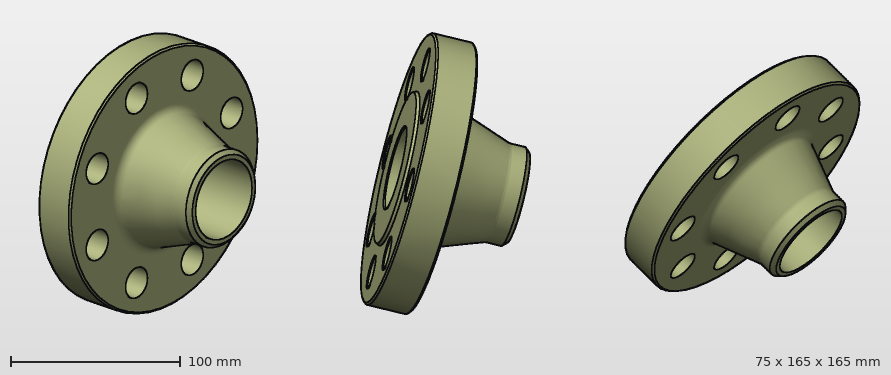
import cadquery as cq
import math

raised_face_height = 2.0
flange_back = 27.5
cone_end = 62.5
bevel_start = 72.3
total_length = 75.0

flange_radius = 82.5
raised_face_radius = 46.9
cone_base_radius = 42.5
neck_radius = 60.2 / 2
weld_end_radius = 27.5
bore_radius = 49.2 / 2

flange_chamfer = 1.2
raised_face_taper = 1.0
bore_chamfer = 0.8
hub_fillet = 6.0
neck_fillet = 4.5

bolt_count = 8
bolt_circle_radius = 63.5
bolt_hole_diameter = 19.1
bolt_hole_chamfer = 0.7


def flange_body():
    """Revolved flange, raised face and tapered weld neck before the hub is filleted."""
    profile = (
        cq.Workplane("XY")
        .moveTo(0, 0)
        .lineTo(0, raised_face_radius - raised_face_taper)
        .lineTo(raised_face_height, raised_face_radius)
        .lineTo(raised_face_height, flange_radius - flange_chamfer)
        .lineTo(raised_face_height + flange_chamfer, flange_radius)
        .lineTo(flange_back - flange_chamfer, flange_radius)
        .lineTo(flange_back, flange_radius - flange_chamfer)
        .lineTo(flange_back, cone_base_radius)
        .lineTo(cone_end, neck_radius)
        .lineTo(bevel_start, neck_radius)
        .lineTo(total_length, weld_end_radius)
        .lineTo(total_length, 0)
        .close()
    )
    return profile.revolve(360, (0, 0, 0), (1, 0, 0))


def circular_edge(body, position, radius):
    """Select the circular edge around the X axis at the given position and radius."""
    tolerance = 0.02
    corner = (position - tolerance, -radius - tolerance, -radius - tolerance)
    opposite = (position + tolerance, radius + tolerance, radius + tolerance)
    edges = body.edges(cq.selectors.BoxSelector(corner, opposite))
    return edges.filter(lambda edge: abs(edge.radius() - radius) < tolerance)


def chamfered_hole(diameter, chamfer, start, end):
    """Cutter along X with a conical flare at its start."""
    radius = diameter / 2
    return (
        cq.Workplane("XY")
        .moveTo(start, 0)
        .lineTo(start, radius + chamfer)
        .lineTo(start + chamfer, radius)
        .lineTo(end, radius)
        .lineTo(end, 0)
        .close()
        .revolve(360, (0, 0, 0), (1, 0, 0))
    )


body = flange_body()
body = circular_edge(body, flange_back, cone_base_radius).fillet(hub_fillet)
body = circular_edge(body, cone_end, neck_radius).fillet(neck_fillet)

body = body.cut(cq.Workplane("YZ").circle(bore_radius).extrude(total_length))
body = circular_edge(body, 0, bore_radius).chamfer(bore_chamfer)

pitch = 2 * math.pi / bolt_count
bolt_hole = chamfered_hole(bolt_hole_diameter, bolt_hole_chamfer, raised_face_height, flange_back)
for index in range(bolt_count):
    angle = (index + 0.5) * pitch
    y = bolt_circle_radius * math.cos(angle)
    z = bolt_circle_radius * math.sin(angle)
    body = body.cut(bolt_hole.translate((0, y, z)))

result = body